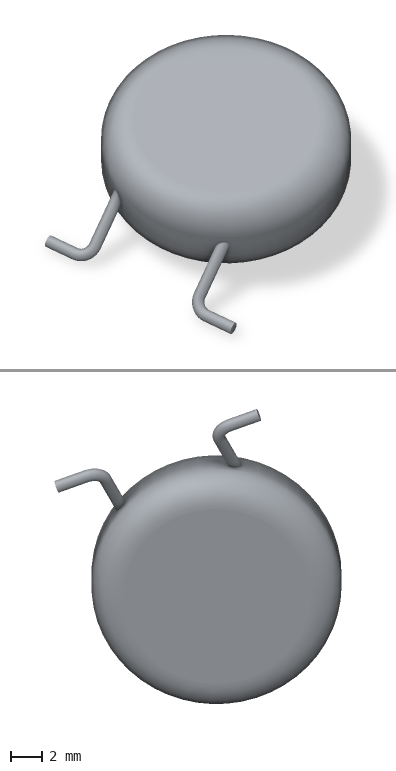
import cadquery as cq
import math

housing_diameter = 16.0
housing_height = 6.0
edge_radius = 2.0
overall_depth = 18.94

wire_diameter = 0.8
lead_spacing = 7.82
bend_radius = 1.0
foot_length = 2.0
slope_angle = 35.5

housing_radius = housing_diameter / 2
wire_radius = wire_diameter / 2
foot_y = housing_radius - overall_depth + wire_radius
foot_z = wire_radius
lead_x = lead_spacing / 2
foot_end_x = lead_x + bend_radius + foot_length

housing_wall_y = -math.sqrt(housing_radius**2 - (lead_x + wire_radius) ** 2)
slope_length = (housing_wall_y + wire_diameter - foot_y) / math.cos(math.radians(slope_angle))


def make_housing():
    """Round puck with both rims rounded."""
    puck = cq.Workplane("XY").circle(housing_radius).extrude(housing_height)
    return puck.edges("%CIRCLE").fillet(edge_radius)


def make_lead(side, housing):
    """Bent wire running from its foot up to the housing wall; side is +1 or -1 along X."""
    slope = math.radians(slope_angle)
    wire_plane = cq.Plane(
        origin=(0, foot_y, foot_z),
        xDir=(side, 0, 0),
        normal=(0, -side * math.sin(slope), side * math.cos(slope)),
    )
    bend_middle = bend_radius * (1 - math.sqrt(0.5))
    path = (
        cq.Workplane(wire_plane)
        .moveTo(foot_end_x, 0)
        .lineTo(lead_x + bend_radius, 0)
        .threePointArc((lead_x + bend_middle, bend_middle), (lead_x, bend_radius))
        .lineTo(lead_x, slope_length)
    )
    foot_end = cq.Workplane("YZ", origin=(side * foot_end_x, foot_y, foot_z))
    wire = foot_end.circle(wire_radius).sweep(path)
    return wire.cut(housing).solids()


housing = make_housing()
leads = [make_lead(side, housing) for side in (-1, 1)]

result = cq.Compound.makeCompound([housing.val(), *[lead.val() for lead in leads]])